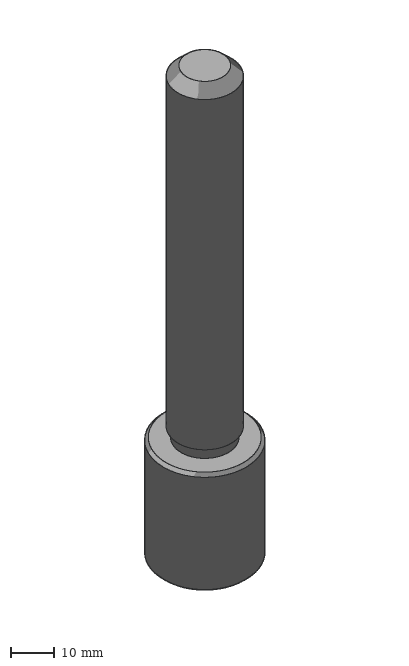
import cadquery as cq

total_length = 145.0
head_diameter = 28.0
head_height = 35.0
head_chamfer = 0.9

neck_diameter = 16.0
neck_height = 3.3

shank_diameter = 18.0
tip_diameter = 12.0
tip_height = 3.0

neck_top = head_height + neck_height
shank_length = total_length - neck_top - tip_height


def cylinder(diameter, height, base_z):
    """Vertical cylinder on the Z axis, standing on base_z."""
    return cq.Workplane("XY").workplane(offset=base_z).circle(diameter / 2).extrude(height)


head = cylinder(head_diameter, head_height, 0).edges("%CIRCLE").chamfer(head_chamfer)

neck = cylinder(neck_diameter, neck_height, head_height)

shank = cylinder(shank_diameter, shank_length, neck_top)

tip = (
    cq.Workplane("XY")
    .workplane(offset=total_length - tip_height)
    .circle(shank_diameter / 2)
    .workplane(offset=tip_height)
    .circle(tip_diameter / 2)
    .loft(ruled=True)
)

result = head.union(neck).union(shank).union(tip)